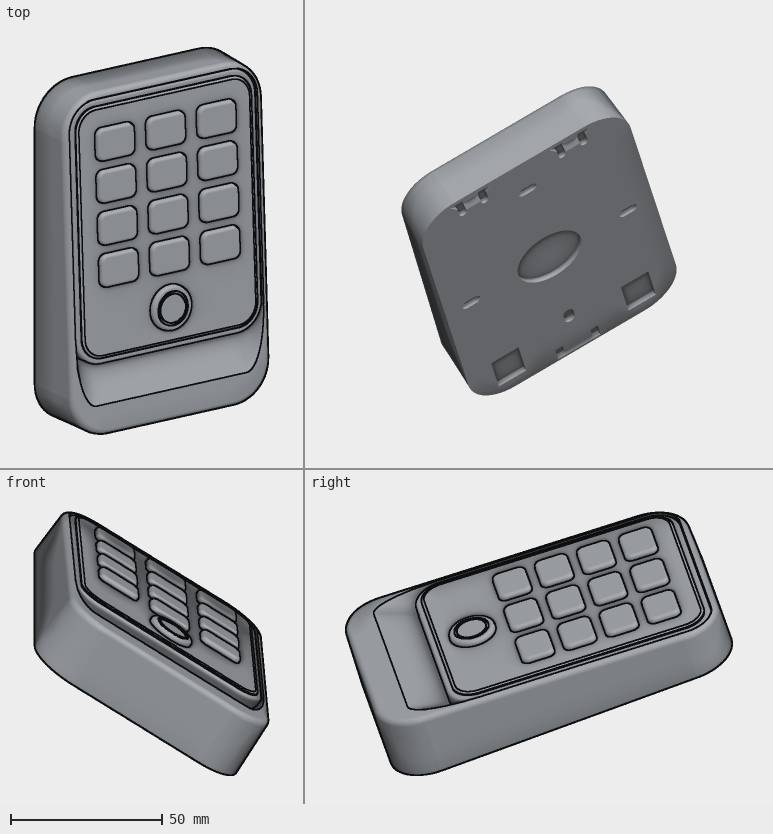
import cadquery as cq
import math

tilt_about_y = 33.3
tilt_about_x = 20.0

body_width = 80.0
body_length = 120.0
corner_radius = 15.0
draft_angle = 2.0
middle_depth = 19.2
front_slope = 3.0
edge_fillet = 1.9

panel_width = 73.9
panel_top = 57.0
panel_bottom = -34.5
panel_corner_radius = 10.0
panel_gap = 0.3
panel_gap_depth = 1.2
border_height = -0.3
border_fillet = 1.0
border_width = 2.2
face_step = 0.8
face_chamfer_drop = 0.4
face_chamfer_run = 1.0

scoop_end = -48.5
scoop_depth = 5.1
scoop_width = 74.2
scoop_side_radius = 7.4

key_width = 15.1
key_length = 11.5
key_corner_radius = 2.5
key_height = 1.9
key_fillet = 1.3
key_pitch_across = 20.1
key_pitch_along = 14.6
key_top_row = 41.7
key_columns = 3
key_rows = 4

button_place = -19.8
button_radius = 7.9
button_groove_outer = 5.9
button_groove_inner = 5.0
button_groove_depth = 0.5

recess_depth = 1.9
medallion_radius = 12.1
slot_width = 3.8
slot_length = 6.9
side_slot_offset = 30.3
top_slot_place = 43.5
bottom_slot_place = -38.6
pad_width = 10.6
pad_length = 15.2
pad_offset = 25.1
pad_place = -47.3
latch_width = 16.4
latch_top = -53.2
latch_bottom = -59.0
latch_bar_length = 1.7
latch_leg_width = 2.8

clip_offset = 19.2
clip_inner = 2.8
clip_outer = 5.6
clip_flared = 7.9
clip_top = 58.2
clip_flare_start = 55.0
clip_bottom = 50.1
crossbar_top = 57.0
crossbar_bottom = 54.9
tongue_root = 52.3
tongue_drop = 1.3

slope = math.radians(front_slope)
front_plane = cq.Plane((0, 0, middle_depth), (1, 0, 0), (0, math.sin(slope), math.cos(slope)))
face_height = border_height + face_step


def on_front(height=0.0):
    """Workplane parallel to the sloped front, raised by the given height."""
    return cq.Workplane(front_plane).workplane(offset=height)


def front_block(base, thickness, width, low, high, radius):
    """Block with rounded corners on the front, from low to high along the length."""
    outline = cq.Sketch().rect(width, high - low).vertices().fillet(radius)
    return on_front(base).center(0, (low + high) / 2).placeSketch(outline).extrude(thickness)


def top_edges(block):
    return block.faces(cq.DirectionMinMaxSelector(front_plane.zDir)).edges()


def make_body():
    outline = cq.Sketch().rect(body_width, body_length).vertices().fillet(corner_radius)
    blank = cq.Workplane("XY").placeSketch(outline).extrude(2 * middle_depth, taper=draft_angle)
    above_front = on_front().rect(2 * body_width, 2 * body_length).extrude(2 * middle_depth)
    return top_edges(blank.cut(above_front)).fillet(edge_fillet)


def make_panel():
    """Border with a rounded edge and, on it, a slightly raised face with a flat chamfer."""
    base = -scoop_depth - 1.3
    border = front_block(base, border_height - base, panel_width, panel_bottom, panel_top, panel_corner_radius)
    border = top_edges(border).fillet(border_fillet)
    face = front_block(
        border_height, face_step, panel_width - 2 * border_width,
        panel_bottom + border_width, panel_top - border_width, panel_corner_radius - border_width,
    )
    face = top_edges(face).chamfer(face_chamfer_drop, face_chamfer_run)
    return border.union(face)


def make_panel_seat():
    return front_block(
        -panel_gap_depth, 2 * panel_gap_depth, panel_width + 2 * panel_gap,
        panel_bottom - panel_gap, panel_top + panel_gap, panel_corner_radius + panel_gap,
    )


def make_scoop():
    """Channel with rounded sides that dives from the scoop end to under the panel."""
    run = panel_bottom - scoop_end
    channel_length = 2 * run
    channel_height = 4 * scoop_side_radius
    dive_angle = math.degrees(math.atan2(scoop_depth, run))
    channel = (
        cq.Workplane("XY")
        .box(scoop_width, channel_length, channel_height, centered=(True, False, False))
        .edges("|Y and <Z").fillet(scoop_side_radius)
        .rotate((0, 0, 0), (1, 0, 0), -dive_angle)
        .translate((0, scoop_end, 0))
    )
    scoop = cq.Workplane(channel.val().moved(front_plane.location))
    above_panel_end = on_front(-channel_height).center(0, panel_bottom + panel_corner_radius + run)
    return scoop.cut(above_panel_end.rect(2 * scoop_width, 2 * run).extrude(2 * channel_height))


def make_key(across, along):
    key = front_block(
        face_height, key_height, key_width,
        along - key_length / 2, along + key_length / 2, key_corner_radius,
    )
    return top_edges(key).fillet(key_fillet).translate((across, 0, 0))


def make_button():
    button = on_front(face_height).center(0, button_place).circle(button_radius).extrude(key_height)
    button = top_edges(button).fillet(key_fillet)
    groove = (
        on_front(face_height + key_height).center(0, button_place)
        .circle(button_groove_outer).circle(button_groove_inner).extrude(-button_groove_depth)
    )
    return button.cut(groove)


def back_plate():
    return cq.Workplane("XY")


def make_round_recesses():
    medallion = back_plate().circle(medallion_radius).extrude(recess_depth)
    cross_slots = (
        back_plate().pushPoints([(-side_slot_offset, 0), (side_slot_offset, 0), (0, top_slot_place)])
        .slot2D(slot_length, slot_width).extrude(recess_depth)
    )
    long_slot = back_plate().center(0, bottom_slot_place).slot2D(slot_length, slot_width, 90).extrude(recess_depth)
    return medallion.union(cross_slots).union(long_slot)


def make_pads():
    places = [(-pad_offset, pad_place), (pad_offset, pad_place)]
    return back_plate().pushPoints(places).rect(pad_width, pad_length).extrude(recess_depth)


def make_latch():
    """U-shaped recess around a tab."""
    half = latch_width / 2
    tab_half = half - latch_leg_width
    tab_end = latch_bottom + latch_bar_length
    return (
        back_plate()
        .polyline([
            (-half, latch_top), (-half, latch_bottom), (half, latch_bottom), (half, latch_top),
            (tab_half, latch_top), (tab_half, tab_end), (-tab_half, tab_end), (-tab_half, latch_top),
        ])
        .close().extrude(recess_depth)
    )


def make_clip(across):
    leg_radius = (clip_outer - clip_inner) / 2
    leg = (
        back_plate()
        .moveTo(clip_inner, clip_bottom + leg_radius)
        .threePointArc((clip_inner + leg_radius, clip_bottom), (clip_outer, clip_bottom + leg_radius))
        .lineTo(clip_outer, clip_flare_start)
        .lineTo(clip_flared, clip_top)
        .lineTo(clip_inner, clip_top)
        .close().extrude(recess_depth)
    )
    crossbar_middle = (crossbar_top + crossbar_bottom) / 2
    crossbar = (
        back_plate().center(0, crossbar_middle)
        .rect(2 * clip_inner, crossbar_top - crossbar_bottom).extrude(recess_depth)
    )
    ramp = (
        cq.Workplane("YZ")
        .polyline([(tongue_root, 0), (crossbar_bottom, 0), (crossbar_bottom, tongue_drop)])
        .close().extrude(clip_inner, both=True)
    )
    clip = leg.union(leg.mirror("YZ")).union(crossbar).union(ramp)
    return clip.translate((across, 0, 0))


keypad = make_body().cut(make_panel_seat()).cut(make_scoop()).union(make_panel())

for column in range(key_columns):
    across = (column - (key_columns - 1) / 2) * key_pitch_across
    for row in range(key_rows):
        keypad = keypad.union(make_key(across, key_top_row - row * key_pitch_along))
keypad = keypad.union(make_button())

keypad = keypad.cut(make_round_recesses()).cut(make_pads()).cut(make_latch())
for side in (-1, 1):
    keypad = keypad.cut(make_clip(side * clip_offset))

result = keypad.rotate((0, 0, 0), (0, 1, 0), tilt_about_y).rotate((0, 0, 0), (1, 0, 0), tilt_about_x)